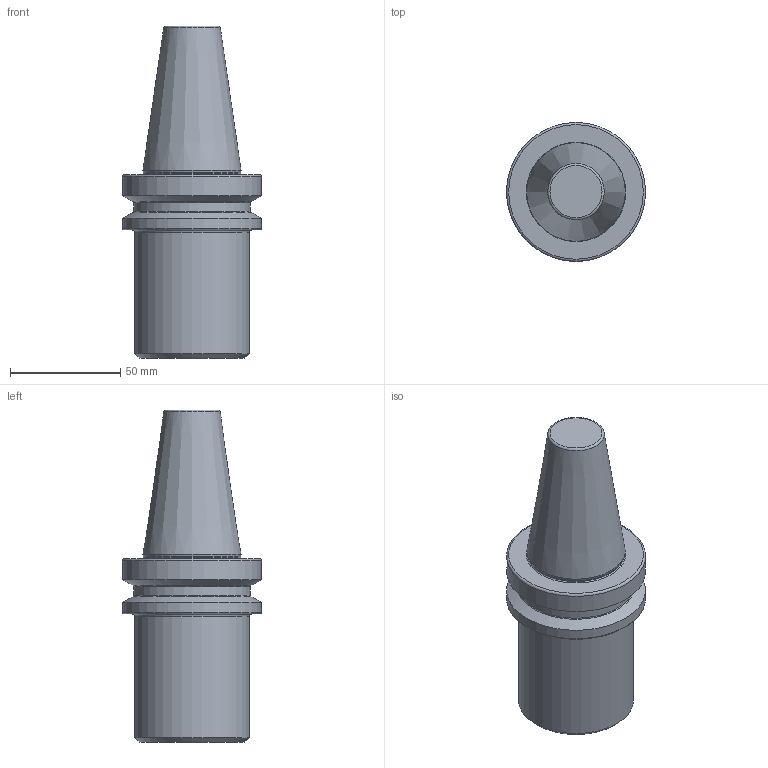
import cadquery as cq
import math


GAUGE_RADIUS = 44.45 / 2
TAPER_LENGTH = 65.4
TAPER_RATE = 7 / 24
TAPER_TIP_RADIUS = GAUGE_RADIUS - TAPER_LENGTH * TAPER_RATE / 2
TIP_FILLET = 1.0

NECK_RADIUS = 22.0
NECK_FILLET = 0.5
NECK_TAPER_BOTTOM_Z = -1.0

FLANGE_RADIUS = 63.0 / 2
FLANGE_TOP_Z = -2.0
FLANGE_BOTTOM_Z = -27.0
FLANGE_TOP_FILLET = 1.0
FLANGE_BOTTOM_FILLET = 0.5

GROOVE_CENTER_Z = -16.6
GROOVE_FLOOR_RADIUS = 53.0 / 2
GROOVE_MOUTH_HALF_WIDTH = 5.2
GROOVE_SIDE_ANGLE = math.radians(30)
GROOVE_DEPTH = FLANGE_RADIUS - GROOVE_FLOOR_RADIUS
GROOVE_FLOOR_HALF_WIDTH = GROOVE_MOUTH_HALF_WIDTH - GROOVE_DEPTH * math.tan(GROOVE_SIDE_ANGLE)
GROOVE_FLOOR_FILLET = 0.5

BODY_RADIUS = 52.0 / 2
BODY_BOTTOM_Z = -85.0
BODY_FILLET = 1.0
BODY_CHAMFER = 2.0


def make_taper():
    """Solid 7/24 cone from the gauge plane to its rounded tip."""
    taper = (
        cq.Workplane("XZ")
        .polyline([
            (0, 0),
            (GAUGE_RADIUS, 0),
            (TAPER_TIP_RADIUS, TAPER_LENGTH),
            (0, TAPER_LENGTH),
        ])
        .close()
        .revolve(360, (0, 0, 0), (0, 1, 0))
    )
    return taper.faces(">Z").edges().fillet(TIP_FILLET)


def make_neck():
    """Short relief that is tapered below the gauge plane and flares into the flange."""
    return (
        cq.Workplane("XZ")
        .moveTo(0, 0)
        .lineTo(GAUGE_RADIUS, 0)
        .lineTo(NECK_RADIUS, NECK_TAPER_BOTTOM_Z)
        .lineTo(NECK_RADIUS, FLANGE_TOP_Z + NECK_FILLET)
        .radiusArc((NECK_RADIUS + NECK_FILLET, FLANGE_TOP_Z), -NECK_FILLET)
        .lineTo(0, FLANGE_TOP_Z)
        .close()
        .revolve(360, (0, 0, 0), (0, 1, 0))
    )


def make_groove():
    """Ring-shaped cutter for the V-groove, rounded where its sides meet the floor."""
    ring = (
        cq.Workplane("XZ")
        .polyline([
            (FLANGE_RADIUS, GROOVE_CENTER_Z + GROOVE_MOUTH_HALF_WIDTH),
            (GROOVE_FLOOR_RADIUS, GROOVE_CENTER_Z + GROOVE_FLOOR_HALF_WIDTH),
            (GROOVE_FLOOR_RADIUS, GROOVE_CENTER_Z - GROOVE_FLOOR_HALF_WIDTH),
            (FLANGE_RADIUS, GROOVE_CENTER_Z - GROOVE_MOUTH_HALF_WIDTH),
        ])
        .close()
        .revolve(360, (0, 0, 0), (0, 1, 0))
    )
    floor = cq.selectors.RadiusNthSelector(0)
    return ring.edges("%CIRCLE").edges(floor).fillet(GROOVE_FLOOR_FILLET)


def make_flange():
    """Flange disc with rounded rims and the V-groove."""
    disc = (
        cq.Workplane("XY", origin=(0, 0, FLANGE_BOTTOM_Z))
        .circle(FLANGE_RADIUS)
        .extrude(FLANGE_TOP_Z - FLANGE_BOTTOM_Z)
    )
    disc = disc.faces(">Z").edges().fillet(FLANGE_TOP_FILLET)
    disc = disc.faces("<Z").edges().fillet(FLANGE_BOTTOM_FILLET)
    return disc.cut(make_groove())


def make_body():
    """Body with a fillet flaring into the flange and a chamfered lower end."""
    return (
        cq.Workplane("XZ")
        .moveTo(0, FLANGE_BOTTOM_Z)
        .lineTo(BODY_RADIUS + BODY_FILLET, FLANGE_BOTTOM_Z)
        .radiusArc((BODY_RADIUS, FLANGE_BOTTOM_Z - BODY_FILLET), -BODY_FILLET)
        .lineTo(BODY_RADIUS, BODY_BOTTOM_Z + BODY_CHAMFER)
        .lineTo(BODY_RADIUS - BODY_CHAMFER, BODY_BOTTOM_Z)
        .lineTo(0, BODY_BOTTOM_Z)
        .close()
        .revolve(360, (0, 0, 0), (0, 1, 0))
    )


result = make_taper().union(make_neck()).union(make_flange()).union(make_body())